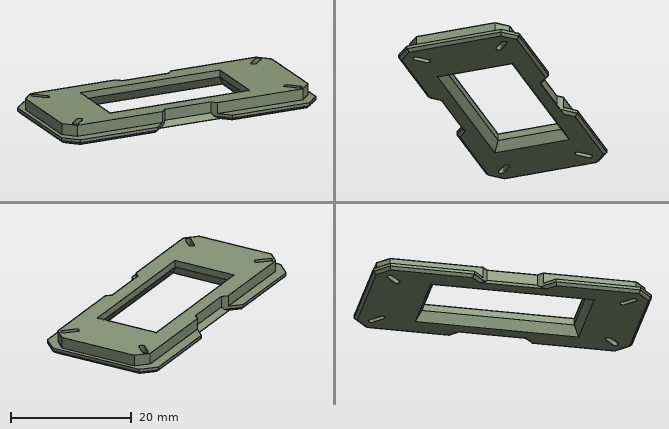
import cadquery as cq

length = 47.0
width = 21.3
height = 2.9
flange_height = 1.0
flange_corner = 2.35
flange_bevel = 0.45

body_length = 45.45
body_width = 17.65
body_corner = 1.93

notch_half_width = 8.0
notch_outer_length = 13.8
notch_inner_length = notch_outer_length - (width - 2 * notch_half_width)
skirt_reach = 0.75

window_width = 11.28
window_length = 25.75
window_offset_y = -0.35
window_straight_depth = 1.2
window_flare = 0.95

slot_x = 7.05
slot_y = 19.85
slot_length = 3.1
slot_width = 1.0


def corner_cut_block(size_x, size_y, block_height, corner):
    block = cq.Workplane("XY").box(size_x, size_y, block_height, centered=(True, True, False))
    return block.edges("|Z").chamfer(corner)


def notch_cutter(side):
    outer_x = side * width / 2
    inner_x = side * notch_half_width
    outer_y = notch_outer_length / 2
    inner_y = notch_inner_length / 2
    profile = [(outer_x, -outer_y), (inner_x, -inner_y), (inner_x, inner_y), (outer_x, outer_y)]
    return cq.Workplane("XY").polyline(profile).close().extrude(height)


def notch_skirt(side):
    top_x = side * notch_half_width
    foot_x = side * (notch_half_width + skirt_reach)
    root_x = side * (notch_half_width - flange_bevel)
    profile = [(root_x, 0), (foot_x, 0), (top_x, flange_height), (root_x, flange_height)]
    return cq.Workplane("XZ").polyline(profile).close().extrude(notch_outer_length / 2, both=True)


def window_cutter():
    flare_height = height - window_straight_depth
    straight = (
        cq.Workplane("XY")
        .center(0, window_offset_y)
        .rect(window_width, window_length)
        .extrude(height)
    )
    flare = (
        cq.Workplane("XY")
        .center(0, window_offset_y)
        .rect(window_width + 2 * window_flare, window_length + 2 * window_flare)
        .workplane(offset=flare_height)
        .rect(window_width, window_length)
        .loft(ruled=True)
    )
    return straight.union(flare)


def corner_slot(side_x, side_y):
    angle = 45 * side_x * side_y
    slot = cq.Workplane("XY").slot2D(slot_length, slot_width, angle).extrude(height)
    return slot.translate((side_x * slot_x, side_y * slot_y, 0))


flange = corner_cut_block(width, length, flange_height, flange_corner)
body = corner_cut_block(body_width, body_length, height, body_corner)
sides = (-1, 1)

for side in sides:
    flange = flange.cut(notch_cutter(side))
    body = body.cut(notch_cutter(side))

flange = flange.faces("<Z").chamfer(flange_bevel)

upper_body = body.translate((0, 0, flange_height)).intersect(body)
result = flange.union(upper_body)

for side in sides:
    result = result.union(notch_skirt(side))

result = result.cut(window_cutter())

for side_x in sides:
    for side_y in sides:
        result = result.cut(corner_slot(side_x, side_y))